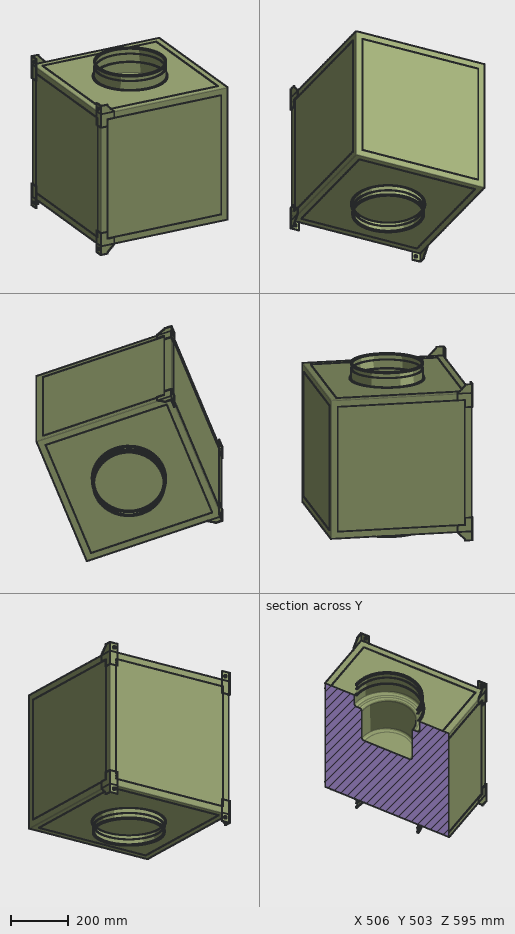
import cadquery as cq

BODY = 500.0
HALF = BODY / 2
FRAME_WIDTH = 25.0
PANEL = BODY - 2 * FRAME_WIDTH
EDGE_RADIUS = 1.2
GROOVE_WIDTH = 0.8
GROOVE_DEPTH = 1.0

SPIGOT_WALL = 1.5
FLANGE_RADIUS = 125.8
FLANGE_BORE_RADIUS = 122.0
FLANGE_THICKNESS = 5.5
NECK_RADIUS = 121.5
NECK_BORE_RADIUS = NECK_RADIUS - SPIGOT_WALL
NECK_HEIGHT = 16.5
COLLAR_RADIUS = FLANGE_RADIUS
COLLAR_BORE_RADIUS = 123.5
BASE_RADIUS = 130.0
BASE_THICKNESS = 0.8
TOP_SPIGOT_HEIGHT = 55.0
BOTTOM_SPIGOT_HEIGHT = 40.0

SHEET = 1.5
INLET_RADIUS = 131.0
INLET_DEPTH = 52.0
WELL_RADIUS = 101.0
WELL_DEPTH = 200.0
BEND_RADIUS = 10.0

PLATE = 3.0
BRACKET_RISE = 31.0
BRACKET_LENGTH = 82.0
FRONT_LEG = 33.0
SIDE_LEG = 54.0
SIDE_TAB = 27.5
HOLE_DIAMETER = 10.0
HOLE_INSET = 19.5
HOLE_DROP = 16.5


def make_cabinet():
    """Cube with slightly rounded edges and a thin square groove around the panel on every face."""
    island = PANEL - 2 * GROOVE_WIDTH
    cabinet = cq.Workplane("XY").box(BODY, BODY, BODY).edges().fillet(EDGE_RADIUS)
    for side in (">X", "<X", ">Y", "<Y", ">Z", "<Z"):
        cabinet = cabinet.faces(side).workplane(centerOption="CenterOfBoundBox")
        cabinet = cabinet.rect(PANEL, PANEL).rect(island, island)
        cabinet = cabinet.cutBlind(-GROOVE_DEPTH)
    return cabinet


def make_spigot(height):
    """Hollow stepped tube rising from the top panel: base, collar, neck and end flange."""
    end_z = HALF + height
    flange_z = end_z - FLANGE_THICKNESS
    neck_z = flange_z - NECK_HEIGHT
    outline = [
        (COLLAR_BORE_RADIUS, HALF),
        (BASE_RADIUS, HALF),
        (BASE_RADIUS, HALF + BASE_THICKNESS),
        (COLLAR_RADIUS, HALF + BASE_THICKNESS),
        (COLLAR_RADIUS, neck_z),
        (NECK_RADIUS, neck_z),
        (NECK_RADIUS, flange_z),
        (FLANGE_RADIUS, flange_z),
        (FLANGE_RADIUS, end_z),
        (FLANGE_BORE_RADIUS, end_z),
        (FLANGE_BORE_RADIUS, flange_z + SPIGOT_WALL),
        (NECK_BORE_RADIUS, flange_z + SPIGOT_WALL),
        (NECK_BORE_RADIUS, neck_z - SPIGOT_WALL),
        (COLLAR_BORE_RADIUS, neck_z - SPIGOT_WALL),
    ]
    return cq.Workplane("XZ").polyline(outline).close().revolve(360, (0, 0), (0, 1))


def make_inlet_cavity():
    """Void below the top spigot: panel opening, wide chamber, then a narrower round-edged well."""
    shelf_z = HALF - INLET_DEPTH
    roof_z = HALF - SHEET
    floor_z = HALF - WELL_DEPTH
    shelf_outer = INLET_RADIUS - BEND_RADIUS
    shelf_inner = WELL_RADIUS + BEND_RADIUS
    return (
        cq.Workplane("XZ")
        .moveTo(0, HALF)
        .lineTo(COLLAR_BORE_RADIUS, HALF)
        .lineTo(COLLAR_BORE_RADIUS, roof_z)
        .lineTo(INLET_RADIUS, roof_z)
        .lineTo(INLET_RADIUS, shelf_z + BEND_RADIUS)
        .tangentArcPoint((shelf_outer, shelf_z), relative=False)
        .lineTo(shelf_inner, shelf_z)
        .tangentArcPoint((WELL_RADIUS, shelf_z - BEND_RADIUS), relative=False)
        .lineTo(WELL_RADIUS, floor_z + BEND_RADIUS)
        .tangentArcPoint((WELL_RADIUS - BEND_RADIUS, floor_z), relative=False)
        .lineTo(0, floor_z)
        .close()
        .revolve(360, (0, 0), (0, 1))
    )


def make_bracket():
    """Angle bracket at the upper left front corner, with one fixing hole."""
    outer = HALF + PLATE
    top_z = HALF + BRACKET_RISE
    bottom_z = top_z - BRACKET_LENGTH
    tab_y = -outer + SIDE_TAB
    gusset_y = -outer + SIDE_LEG
    side_outline = [
        (-outer, bottom_z),
        (tab_y, bottom_z),
        (tab_y, HALF - FRAME_WIDTH),
        (gusset_y, HALF - FRAME_WIDTH),
        (gusset_y, HALF),
        (tab_y, HALF + SIDE_LEG - SIDE_TAB),
        (tab_y, top_z),
        (-outer, top_z),
    ]
    side = cq.Workplane("YZ").workplane(offset=-outer).polyline(side_outline).close().extrude(PLATE)
    front = cq.Workplane("XY").box(FRONT_LEG, PLATE, BRACKET_LENGTH, centered=False)
    front = front.translate((-outer, -outer, bottom_z))
    hole = cq.Workplane("XZ").center(-outer + HOLE_INSET, top_z - HOLE_DROP)
    hole = hole.circle(HOLE_DIAMETER / 2).extrude(outer)
    return side.union(front).cut(hole)


result = make_cabinet().union(make_spigot(TOP_SPIGOT_HEIGHT))
result = result.union(make_spigot(BOTTOM_SPIGOT_HEIGHT).mirror("XY"))
result = result.cut(make_inlet_cavity())

upper_left = make_bracket()
upper_right = upper_left.mirror("YZ")
for bracket in (upper_left, upper_right):
    result = result.union(bracket).union(bracket.mirror("XY"))